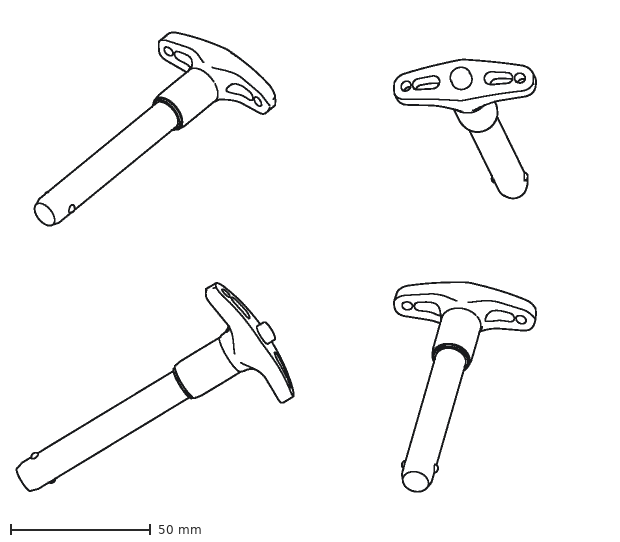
import cadquery as cq
import math


OVERALL_LENGTH = 105.41

BUTTON_RADIUS = 3.7
BUTTON_HEIGHT = 3.2
BUTTON_EDGE_ROUND = 0.35

HANDLE_LENGTH = 51.45
HANDLE_CENTRE_RADIUS = 15.88 / 2
HANDLE_END_RADIUS = 5.0
END_CENTRE = HANDLE_LENGTH / 2 - HANDLE_END_RADIUS

CROWN_Y = 34.1
CROWN_FLAT_RADIUS = 4.7
CROWN_ARC_RADIUS = 67.0
RIM_RADIUS = HANDLE_LENGTH / 2
RIM_TOP_RADIUS = 25.35
RIM_CORNER_DROP = 6.75
RIM_CORNER_RADIUS = 1.3
FLARE_RADIUS = 5.8
NECK_RADIUS = 7.62
NECK_Y = 21.5

LANYARD_HOLE_DIAMETER = 3.7
SLOT_INNER_CENTRE = 10.6
SLOT_INNER_RADIUS = 2.45
SLOT_OUTER_CENTRE = 16.15
SLOT_OUTER_RADIUS = 2.05

SLEEVE_END_RADIUS = 7.22
SLEEVE_MIDDLE_RADIUS = 7.27
SLEEVE_TOP_Y = 20.4
SLEEVE_BOTTOM_Y = 3.4
SLEEVE_LIP_RADIUS = 6.85
COLLAR_RADIUS = 6.3
COLLAR_HEIGHT = 1.0

SHANK_RADIUS = 5.56
TIP_RADIUS = 4.7
TIP_TAPER_LENGTH = 2.9
TIP_Y = CROWN_Y + BUTTON_HEIGHT - OVERALL_LENGTH

BALL_RADIUS = 1.6
BALL_REACH = 6.6
BALL_FROM_TIP = 8.45


def turn(profile):
    """Revolve a closed XY half-profile about the Y axis."""
    return profile.close().revolve(360, (0, 0, 0), (0, 1, 0))


def rounded_taper(centre_a, radius_a, centre_b, radius_b, y_low, y_high):
    """Prism along Y: two circles on the X axis joined by their outer tangents."""
    slope = math.asin((radius_a - radius_b) / (centre_b - centre_a))

    def tangent_point(centre, radius):
        return centre + radius * math.sin(slope), radius * math.cos(slope)

    ax, az = tangent_point(centre_a, radius_a)
    bx, bz = tangent_point(centre_b, radius_b)
    return (
        cq.Workplane("XZ", origin=(0, y_high, 0))
        .moveTo(ax, az)
        .lineTo(bx, bz)
        .threePointArc((centre_b + radius_b, 0), (bx, -bz))
        .lineTo(ax, -az)
        .threePointArc((centre_a - radius_a, 0), (ax, az))
        .close()
        .extrude(y_high - y_low)
    )


def both_sides(right_half):
    """Join a shape with its mirror image across the YZ plane."""
    return right_half.union(right_half.mirror("YZ"))


def handle_blank():
    """Turned mushroom: crowned top, tapered rim, sloping underside and flared neck."""

    def crown_point(radius):
        run = radius - CROWN_FLAT_RADIUS
        drop = CROWN_ARC_RADIUS - math.sqrt(CROWN_ARC_RADIUS**2 - run**2)
        return radius, CROWN_Y - drop

    crown_middle_radius = (CROWN_FLAT_RADIUS + RIM_TOP_RADIUS) / 2
    corner_y = CROWN_Y - RIM_CORNER_DROP
    corner_centre_r = RIM_RADIUS - RIM_CORNER_RADIUS
    flare_centre_r = NECK_RADIUS + FLARE_RADIUS

    centre_run = corner_centre_r - flare_centre_r
    centre_rise = corner_y - NECK_Y
    centre_distance = math.hypot(centre_run, centre_rise)
    underside_angle = math.asin((FLARE_RADIUS + RIM_CORNER_RADIUS) / centre_distance) - math.atan2(
        centre_rise, centre_run
    )
    flare_end = (
        flare_centre_r + FLARE_RADIUS * math.sin(underside_angle),
        NECK_Y + FLARE_RADIUS * math.cos(underside_angle),
    )
    corner_end = (
        corner_centre_r - RIM_CORNER_RADIUS * math.sin(underside_angle),
        corner_y - RIM_CORNER_RADIUS * math.cos(underside_angle),
    )
    diagonal = math.radians(45)
    corner_middle = (
        corner_centre_r + RIM_CORNER_RADIUS * math.cos(diagonal),
        corner_y - RIM_CORNER_RADIUS * math.sin(diagonal),
    )
    flare_middle = (
        flare_centre_r - FLARE_RADIUS * math.cos(diagonal),
        NECK_Y + FLARE_RADIUS * math.sin(diagonal),
    )
    return turn(
        cq.Workplane("XY")
        .moveTo(0, NECK_Y)
        .lineTo(0, CROWN_Y)
        .lineTo(CROWN_FLAT_RADIUS, CROWN_Y)
        .threePointArc(crown_point(crown_middle_radius), crown_point(RIM_TOP_RADIUS))
        .lineTo(RIM_RADIUS, corner_y)
        .threePointArc(corner_middle, corner_end)
        .lineTo(*flare_end)
        .threePointArc(flare_middle, (NECK_RADIUS, NECK_Y))
    )


def handle():
    """Handle blank trimmed to its outline, with a slot and a lanyard hole in each arm."""
    outline = both_sides(
        rounded_taper(0, HANDLE_CENTRE_RADIUS, END_CENTRE, HANDLE_END_RADIUS, NECK_Y, CROWN_Y)
    )
    slots = both_sides(
        rounded_taper(
            SLOT_INNER_CENTRE, SLOT_INNER_RADIUS, SLOT_OUTER_CENTRE, SLOT_OUTER_RADIUS, NECK_Y, CROWN_Y
        )
    )
    holes = (
        cq.Workplane("XZ", origin=(0, CROWN_Y, 0))
        .pushPoints([(-END_CENTRE, 0), (END_CENTRE, 0)])
        .circle(LANYARD_HOLE_DIAMETER / 2)
        .extrude(CROWN_Y - NECK_Y)
    )
    return handle_blank().intersect(outline).cut(slots).cut(holes)


def button():
    """Release button, running down into the handle so the two join."""
    return (
        cq.Workplane("XZ", origin=(0, NECK_Y, 0))
        .circle(BUTTON_RADIUS)
        .extrude(-(CROWN_Y + BUTTON_HEIGHT - NECK_Y))
        .faces(">Y")
        .edges()
        .fillet(BUTTON_EDGE_ROUND)
    )


def sleeve_and_shank():
    """Neck, slightly barrelled sleeve, stepped collar and taper-tipped shank."""
    sleeve_middle_y = (SLEEVE_TOP_Y + SLEEVE_BOTTOM_Y) / 2
    return turn(
        cq.Workplane("XY")
        .moveTo(0, NECK_Y)
        .lineTo(NECK_RADIUS, NECK_Y)
        .lineTo(SLEEVE_END_RADIUS, SLEEVE_TOP_Y)
        .threePointArc((SLEEVE_MIDDLE_RADIUS, sleeve_middle_y), (SLEEVE_END_RADIUS, SLEEVE_BOTTOM_Y))
        .lineTo(SLEEVE_LIP_RADIUS, COLLAR_HEIGHT)
        .lineTo(COLLAR_RADIUS, COLLAR_HEIGHT)
        .lineTo(COLLAR_RADIUS, 0)
        .lineTo(SHANK_RADIUS, 0)
        .lineTo(SHANK_RADIUS, TIP_Y + TIP_TAPER_LENGTH)
        .lineTo(TIP_RADIUS, TIP_Y)
        .lineTo(0, TIP_Y)
    )


def locking_balls():
    """Two balls standing proud of the shank on opposite sides."""
    ball_centre = BALL_REACH - BALL_RADIUS
    ball_y = TIP_Y + BALL_FROM_TIP
    return (
        cq.Workplane("XY")
        .pushPoints([(-ball_centre, ball_y), (ball_centre, ball_y)])
        .sphere(BALL_RADIUS)
    )


result = handle().union(button()).union(sleeve_and_shank()).union(locking_balls())